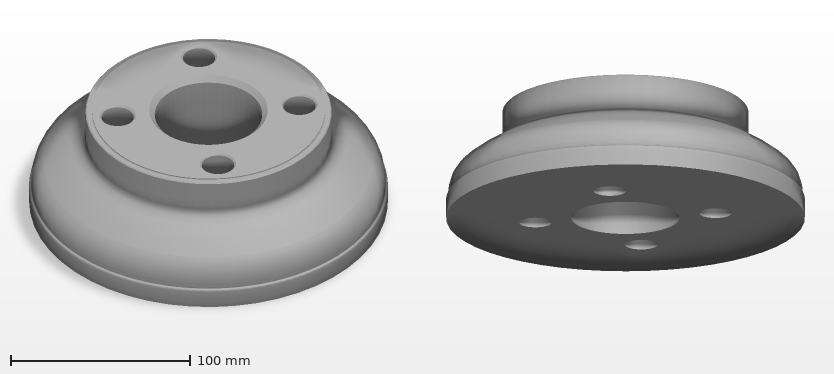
import cadquery as cq
import math

overall_height = 63.0
rim_radius = 100.0
body_radius = 197.5 / 2
hub_radius = 137.2 / 2

ring_height = 13.8
shoulder_height = 12.0
shoulder_drop = 1.6
shoulder_reach = rim_radius - body_radius

body_round_start = 15.0
body_round_radius = 17.2
body_round_end = 28.5
dome_top_radius = 70.6
dome_top = 41.6
hub_fillet_top = 44.6

land_radius = 130.0 / 2
land_step = 0.6
hub_edge_bevel = 0.6

bore_radius = 60.0 / 2
relief_radius = 60.2 / 2
relief_top = 38.2
bore_chamfer = 3.0

bolt_hole_radius = 18.0 / 2
bolt_hole_chamfer = 1.0
bolt_spacing = 72.0

BOLT_POINTS = [
    (x_side * bolt_spacing / 2, y_side * bolt_spacing / 2)
    for x_side in (-1, 1)
    for y_side in (-1, 1)
]


def revolve_about_z(profile):
    """Revolve a closed radius-height profile drawn on the XZ plane."""
    return profile.close().revolve(360, (0, 0, 0), (0, 1, 0))


def drill_bolt_holes(body):
    """Cut the four bolt holes through the full height."""
    holes = (
        cq.Workplane("XY").pushPoints(BOLT_POINTS)
        .circle(bolt_hole_radius).extrude(overall_height)
    )
    return body.cut(holes)


def chamfer_bolt_holes(body):
    """Bevel the upper mouths of the bolt holes."""
    mouth_radius = bolt_hole_radius + bolt_hole_chamfer
    for x, y in BOLT_POINTS:
        countersink = cq.Solid.makeCone(
            bolt_hole_radius, mouth_radius, bolt_hole_chamfer,
            pnt=cq.Vector(x, y, overall_height - bolt_hole_chamfer),
        )
        body = body.cut(cq.Workplane(obj=countersink))
    return body


def make_rim_ring():
    """Lower ring whose outer wall is one smooth curve with a shoulder below its collar."""
    downward = (0, -1)
    outer_wall = [
        ((body_radius, ring_height), downward),
        ((body_radius, shoulder_height), downward),
        ((rim_radius - shoulder_reach / 2, shoulder_height - shoulder_drop / 4), (1, -1)),
        ((rim_radius, shoulder_height - shoulder_drop), downward),
        ((rim_radius, 0), downward),
    ]
    profile = (
        cq.Workplane("XZ")
        .moveTo(relief_radius, 0)
        .lineTo(relief_radius, ring_height)
        .lineTo(body_radius, ring_height)
        .spline(
            [point for point, direction in outer_wall[1:]],
            tangents=[direction for point, direction in outer_wall],
            includeCurrent=True,
        )
    )
    return drill_bolt_holes(revolve_about_z(profile))


def make_body():
    """Domed body and hub, sitting on the rim ring."""
    step_height = overall_height - land_step
    round_rise = body_round_end - body_round_start
    round_reach = math.sqrt(body_round_radius**2 - round_rise**2)
    round_end_radius = body_radius - body_round_radius + round_reach
    profile = (
        cq.Workplane("XZ")
        .moveTo(relief_radius, ring_height)
        .lineTo(body_radius, ring_height)
        .lineTo(body_radius, body_round_start)
        .tangentArcPoint((round_end_radius, body_round_end), relative=False)
        .tangentArcPoint((dome_top_radius, dome_top), relative=False)
        .tangentArcPoint((hub_radius, hub_fillet_top), relative=False)
        .lineTo(hub_radius, step_height - hub_edge_bevel)
        .lineTo(hub_radius - hub_edge_bevel, step_height)
        .lineTo(land_radius, step_height)
        .lineTo(land_radius, overall_height)
        .lineTo(bore_radius + bore_chamfer, overall_height)
        .lineTo(bore_radius, overall_height - bore_chamfer)
        .lineTo(bore_radius, relief_top)
        .lineTo(relief_radius, relief_top)
    )
    return chamfer_bolt_holes(drill_bolt_holes(revolve_about_z(profile)))


rim_ring = make_rim_ring()
body = make_body()
result = cq.Compound.makeCompound([rim_ring.val(), body.val()])